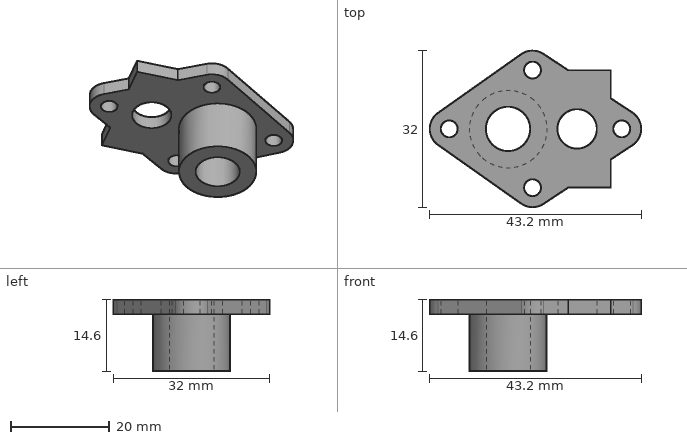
import cadquery as cq
import math

plate_thickness = 3.0
total_height = 14.6
lobe_radius = 4.0
screw_hole_diameter = 3.4

left_screw_x = -12.0
right_screw_x = 23.2
side_screw_x = 5.0
side_screw_y = 12.0

tube_diameter = 15.8
bore_diameter = 9.0

port_x = 14.1
port_diameter = 8.0

tab_end_x = 21.0

tube_length = total_height - plate_thickness
tab_half_width = side_screw_y
screw_positions = [
    (left_screw_x, 0),
    (right_screw_x, 0),
    (side_screw_x, side_screw_y),
    (side_screw_x, -side_screw_y),
]


def lobe_point(center, angle):
    """Point on the rounded lobe around a screw hole, at the given direction angle."""
    return (
        center[0] + lobe_radius * math.cos(angle),
        center[1] + lobe_radius * math.sin(angle),
    )


def make_diamond():
    """Diamond plate whose straight sides are tangent to the lobes at its four corners."""
    left = (left_screw_x, 0)
    right = (right_screw_x, 0)
    upper = (side_screw_x, side_screw_y)
    lower = (side_screw_x, -side_screw_y)

    left_normal = math.atan2(side_screw_x - left_screw_x, -side_screw_y)
    right_normal = math.atan2(right_screw_x - side_screw_x, side_screw_y)
    side_middle = (left_normal + right_normal) / 2

    return (
        cq.Workplane("XY")
        .moveTo(*lobe_point(left, left_normal))
        .lineTo(*lobe_point(upper, left_normal))
        .threePointArc(lobe_point(upper, side_middle), lobe_point(upper, right_normal))
        .lineTo(*lobe_point(right, right_normal))
        .threePointArc(lobe_point(right, 0), lobe_point(right, -right_normal))
        .lineTo(*lobe_point(lower, -right_normal))
        .threePointArc(lobe_point(lower, -side_middle), lobe_point(lower, -left_normal))
        .lineTo(*lobe_point(left, -left_normal))
        .threePointArc(lobe_point(left, math.pi), lobe_point(left, left_normal))
        .close()
        .extrude(plate_thickness)
    )


def make_tab():
    """Square-cornered block that widens the plate around the port."""
    tab_length = tab_end_x - side_screw_x
    return (
        cq.Workplane("XY")
        .center(side_screw_x + tab_length / 2, 0)
        .rect(tab_length, 2 * tab_half_width)
        .extrude(plate_thickness)
    )


def make_tube():
    """Round spigot hanging below the plate."""
    return cq.Workplane("XY").circle(tube_diameter / 2).extrude(-tube_length)


def through_holes(positions, diameter):
    """Cutting cylinders spanning the full height of the part."""
    return (
        cq.Workplane("XY")
        .workplane(offset=-tube_length)
        .pushPoints(positions)
        .circle(diameter / 2)
        .extrude(total_height)
    )


body = make_diamond().union(make_tab()).clean().union(make_tube())
result = (
    body.cut(through_holes([(0, 0)], bore_diameter))
    .cut(through_holes([(port_x, 0)], port_diameter))
    .cut(through_holes(screw_positions, screw_hole_diameter))
)